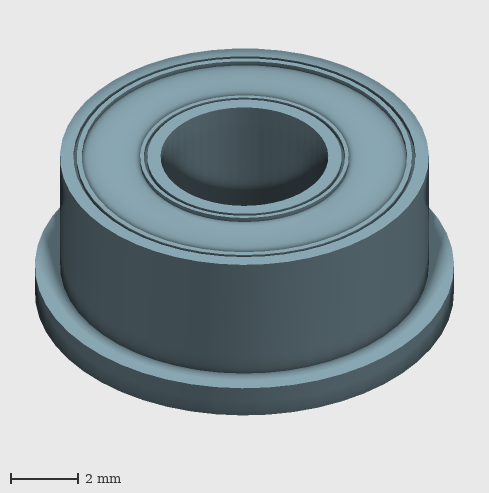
import cadquery as cq

height = 5.0
flange_diameter = 12.5
flange_thickness = 1.0
body_diameter = 11.0
bore_diameter = 5.0

inner_ring_radius = 2.9
inner_lip_inside_radius = 3.0
inner_lip_outside_radius = 3.11
outer_lip_inside_radius = 4.85
outer_lip_outside_radius = 5.0
outer_ring_radius = 5.1
recess_depth = 0.15


def top_groove(inside_radius, outside_radius):
    """Annular cutter reaching down from the top face."""
    return (
        cq.Workplane("XY")
        .workplane(offset=height - recess_depth)
        .circle(outside_radius)
        .circle(inside_radius)
        .extrude(recess_depth)
    )


flange = cq.Workplane("XY").circle(flange_diameter / 2).extrude(flange_thickness)
body = cq.Workplane("XY").circle(body_diameter / 2).extrude(height)
bore = cq.Workplane("XY").circle(bore_diameter / 2).extrude(height)
result = flange.union(body).cut(bore)

groove_radii = [
    (inner_ring_radius, inner_lip_inside_radius),
    (inner_lip_outside_radius, outer_lip_inside_radius),
    (outer_lip_outside_radius, outer_ring_radius),
]
for inside_radius, outside_radius in groove_radii:
    result = result.cut(top_groove(inside_radius, outside_radius))